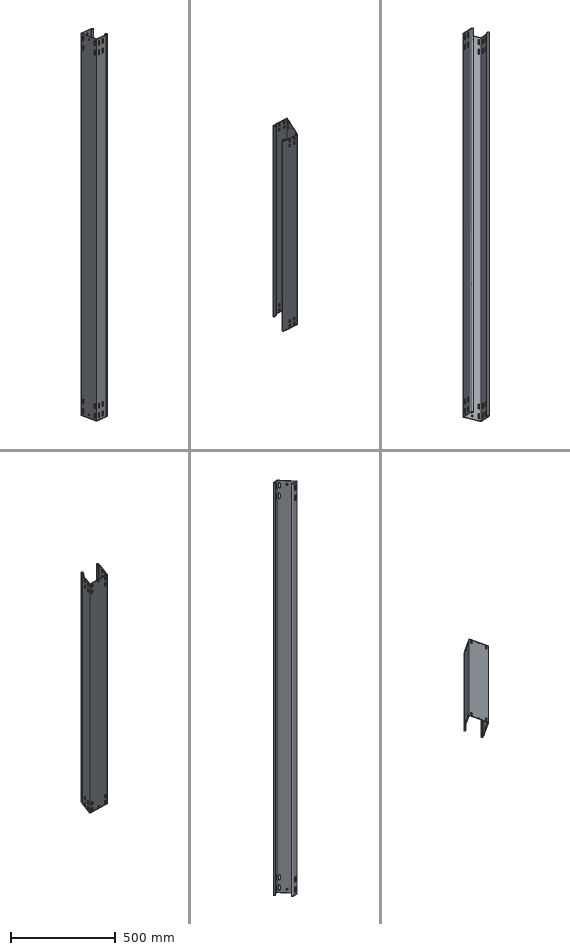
import cadquery as cq
import math

LENGTH = 2000.0
WIDTH = 100.0
DEPTH = 80.0
SHEET = 1.0
CORNER_RADIUS = 0.5

GROOVE_START = 66.0
ENTRY_ANGLE = 60.0
ENTRY_RADIUS = 1.1
GROOVE_ANGLE = 65.0
GROOVE_RADIUS = 2.1
ROLL_ANGLE = 200.0
ROLL_RADIUS = 4.2
LEG_LENGTH = 10.5

HOLE_END_DISTANCES = (25.0, 75.0)
SLOT_WIDTH = 7.0
SLOT_LENGTH = 25.0
BASE_SLOT_X = 37.5
SIDE_SLOT_ROWS_Y = (17.0, 43.0)
CENTER_HOLE_DIAMETER = 7.0
CENTER_HOLE_END_DISTANCE = 18.0


def heading(angle):
    """Unit vector at an angle in degrees from +X."""
    return cq.Vector(math.cos(math.radians(angle)), math.sin(math.radians(angle)))


def roll_height():
    """Height climbed from the end of the flat wall to the top of the roll, without the groove flank."""
    entry_end = 90 - ENTRY_ANGLE
    roll_start = entry_end + GROOVE_ANGLE
    climb = ENTRY_RADIUS * math.cos(math.radians(entry_end))
    climb += GROOVE_RADIUS * (math.cos(math.radians(entry_end)) - math.cos(math.radians(roll_start)))
    climb += ROLL_RADIUS * (1 - math.cos(math.radians(roll_start)))
    return climb + SHEET / 2


def lip_steps():
    """Bends as (turn, radius, length of the flat after it); positive turns lean inward on the left."""
    flank_angle = 90 - ENTRY_ANGLE + GROOVE_ANGLE
    flank = (DEPTH - GROOVE_START - roll_height()) / math.sin(math.radians(flank_angle))
    return [
        (ENTRY_ANGLE, ENTRY_RADIUS, 0.0),
        (-GROOVE_ANGLE, GROOVE_RADIUS, flank),
        (ROLL_ANGLE, ROLL_RADIUS, LEG_LENGTH),
    ]


def sheet_edge(side):
    """Left lip edge offset from the middle line: side +1 is outside, -1 is inside.

    Returns the start point and a list of pieces, each (arc midpoint or None, end point).
    """
    point = cq.Vector(-WIDTH / 2 + SHEET / 2, GROOVE_START)
    angle = 90.0
    offset = side * SHEET / 2
    start = point + heading(angle + 90) * offset
    pieces = []
    for turn, radius, flat in lip_steps():
        toward_center = -math.copysign(90, turn)
        center = point + heading(angle + toward_center) * radius
        edge_radius = radius + math.copysign(offset, turn * offset)
        middle = center - heading(angle - turn / 2 + toward_center) * edge_radius
        angle -= turn
        point = center - heading(angle + toward_center) * radius
        pieces.append((middle, point + heading(angle + 90) * offset))
        if flat > 0:
            point = point + heading(angle) * flat
            pieces.append((None, point + heading(angle + 90) * offset))
    return start, pieces


def half_channel():
    """Left half of the channel, extruded along its whole length."""
    outside_start, outside = sheet_edge(1)
    inside_start, inside = sheet_edge(-1)
    corner = CORNER_RADIUS
    corner_sag = corner * (1 - math.sqrt(0.5))
    left = -WIDTH / 2

    sketch = cq.Workplane("XY").moveTo(0, 0).lineTo(left + corner, 0)
    sketch = sketch.threePointArc((left + corner_sag, corner_sag), (left, corner))
    sketch = sketch.lineTo(outside_start.x, outside_start.y)
    for middle, end in outside:
        if middle is None:
            sketch = sketch.lineTo(end.x, end.y)
        else:
            sketch = sketch.threePointArc((middle.x, middle.y), (end.x, end.y))

    sketch = sketch.lineTo(inside[-1][1].x, inside[-1][1].y)
    inside_points = [inside_start] + [end for _, end in inside]
    for index in reversed(range(len(inside))):
        middle = inside[index][0]
        end = inside_points[index]
        if middle is None:
            sketch = sketch.lineTo(end.x, end.y)
        else:
            sketch = sketch.threePointArc((middle.x, middle.y), (end.x, end.y))
    sketch = sketch.lineTo(left + SHEET, SHEET).lineTo(0, SHEET).close()
    return sketch.extrude(LENGTH / 2, both=True)


def channel():
    half = half_channel()
    return half.union(half.mirror("YZ")).clean()


def end_heights(distance):
    """Heights at the given distance from the two ends."""
    return (LENGTH / 2 - distance, distance - LENGTH / 2)


def cut_base_holes(body):
    slot_places = []
    for distance in HOLE_END_DISTANCES:
        for z in end_heights(distance):
            slot_places += [(-BASE_SLOT_X, z), (BASE_SLOT_X, z)]
    center_places = [(0, z) for z in end_heights(CENTER_HOLE_END_DISTANCE)]
    base = cq.Workplane("XZ")
    slots = base.pushPoints(slot_places).slot2D(SLOT_LENGTH, SLOT_WIDTH, 90).extrude(-SHEET)
    centers = base.pushPoints(center_places).circle(CENTER_HOLE_DIAMETER / 2).extrude(-SHEET)
    return body.cut(slots).cut(centers)


def cut_side_slots(body):
    """Rows of upright slots through both walls."""
    places = []
    for y in SIDE_SLOT_ROWS_Y:
        for distance in HOLE_END_DISTANCES:
            places += [(y, z) for z in end_heights(distance)]
    slots = cq.Workplane("YZ").pushPoints(places).slot2D(SLOT_LENGTH, SLOT_WIDTH, 90)
    return body.cut(slots.extrude(WIDTH / 2, both=True))


result = channel()
result = cut_base_holes(result)
result = cut_side_slots(result)